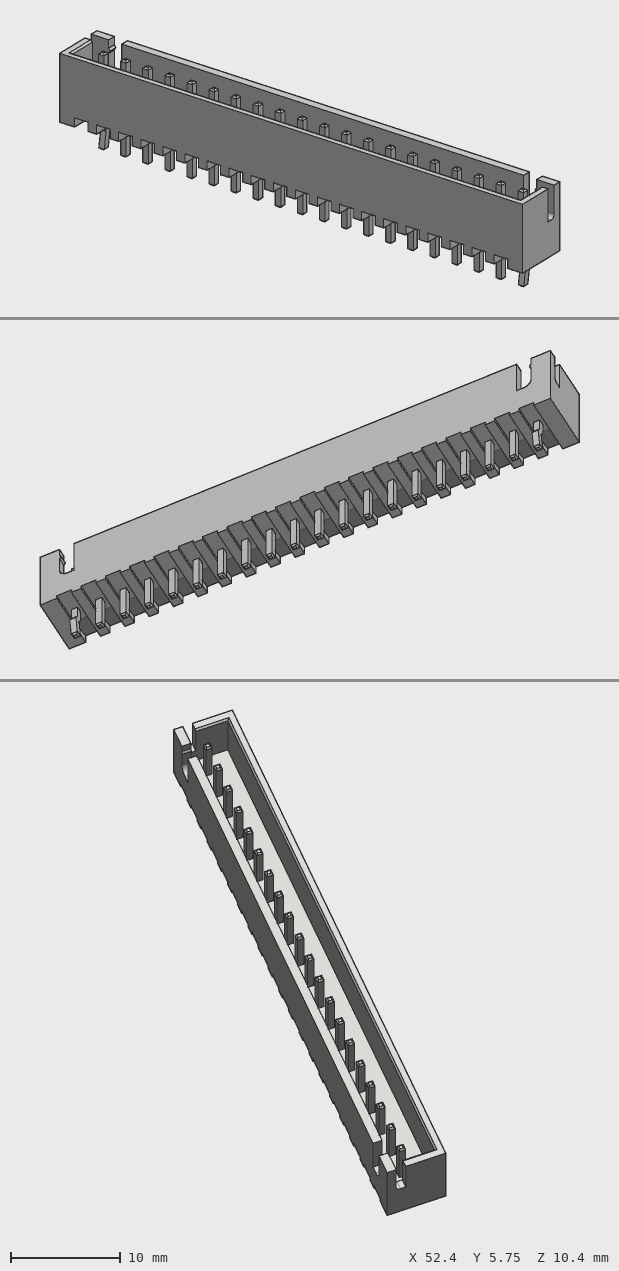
import cadquery as cq

length = 52.4
depth = 5.75
height = 7.0
front_wall = 0.8
end_wall = 0.85
back_wall = 0.9
floor_top = 2.1
rim_chamfer = 0.185

pin_count = 20
pin_row_length = 47.5
pin_size = 0.65
pin_y = 3.4
pin_top = 6.5
pin_tail = 3.35
pin_tip_chamfer = 0.15

kink_start = 0.95
kink_end = 1.45
kink_offset = 0.3

post_width = 2.0
back_slot_width = 1.45
back_slot_fillet = 0.8
end_slot_width = 0.95
end_slot_fillet = 0.4
back_slot_depth = 3.9
end_slot_depth = 3.35

ridge_height = 0.15
ridge_half_width = 0.25
ridge_drop = 1.1

channel_width = 1.5
channel_front_height = 0.95
channel_back_height = 0.35
channel_lead_in = 2.35

pitch = pin_row_length / (pin_count - 1)
pin_positions = [(i - (pin_count - 1) / 2) * pitch for i in range(pin_count)]
cavity_back = depth - back_wall
back_slot_floor = height - back_slot_depth
end_slot_floor = height - end_slot_depth


def block(x_min, x_max, y_min, y_max, z_min, z_max):
    """Box between the given limits."""
    size = (x_max - x_min, y_max - y_min, z_max - z_min)
    return cq.Workplane("XY").box(*size, centered=False).translate((x_min, y_min, z_min))


def make_housing():
    """Open-topped box with the inner rim chamfered at the front and the ends."""
    half_length = length / 2
    cavity_half = half_length - end_wall
    outer = block(-half_length, half_length, 0, depth, 0, height)
    cavity = block(-cavity_half, cavity_half, front_wall, cavity_back, floor_top, height)
    inner_rims = cq.selectors.BoxSelector(
        (-cavity_half - rim_chamfer, front_wall - rim_chamfer, height - rim_chamfer),
        (cavity_half + rim_chamfer, cavity_back - rim_chamfer, height + rim_chamfer),
    )
    return outer.cut(cavity).faces(">Z").edges(inner_rims).chamfer(rim_chamfer)


def make_left_slots():
    """Slots beside the left corner post, leaving a small ridge on the post's inner face."""
    x_end = -length / 2
    back_slot_start = x_end + post_width
    back_slot = block(
        back_slot_start, back_slot_start + back_slot_width,
        cavity_back, depth, back_slot_floor, height,
    ).edges("<X and <Z").fillet(back_slot_fillet)
    end_slot = block(
        x_end, x_end + end_wall, cavity_back - end_slot_width, cavity_back, end_slot_floor, height,
    ).edges(">Y and <Z").fillet(end_slot_fillet)
    ridge = (
        cq.Workplane("XZ", origin=(0, depth, 0))
        .polyline([
            (back_slot_start, height - ridge_drop + ridge_half_width),
            (back_slot_start + ridge_height, height - ridge_drop),
            (back_slot_start, height - ridge_drop - ridge_half_width),
        ])
        .close()
        .extrude(back_wall)
    )
    return back_slot.cut(ridge).union(end_slot)


def make_channel(x):
    """Channel under one pin, its roof sloping down from the front, then level."""
    return (
        cq.Workplane("YZ", origin=(x - channel_width / 2, 0, 0))
        .polyline([
            (0, 0),
            (0, channel_front_height),
            (channel_lead_in, channel_back_height),
            (depth, channel_back_height),
            (depth, 0),
        ])
        .close()
        .extrude(channel_width)
    )


def make_pin(x, kinked):
    """Square pin with chamfered tips, optionally with a kinked tail."""
    half = pin_size / 2
    centre_line = [(0, pin_top)]
    if kinked:
        centre_line += [(0, -kink_start), (kink_offset, -kink_end)]
    centre_line.append((0, -pin_tail))
    back_side = [(pin_y + offset + half, z) for offset, z in centre_line]
    front_side = [(pin_y + offset - half, z) for offset, z in centre_line]
    return (
        cq.Workplane("YZ", origin=(x - half, 0, 0))
        .polyline(back_side + front_side[::-1])
        .close()
        .extrude(pin_size)
        .faces("<Z or >Z")
        .chamfer(pin_tip_chamfer)
    )


left_slots = make_left_slots()
result = make_housing().cut(left_slots).cut(left_slots.mirror("YZ"))
for x in pin_positions:
    result = result.cut(make_channel(x))
    is_outermost = x in (pin_positions[0], pin_positions[-1])
    result = result.union(make_pin(x, is_outermost))